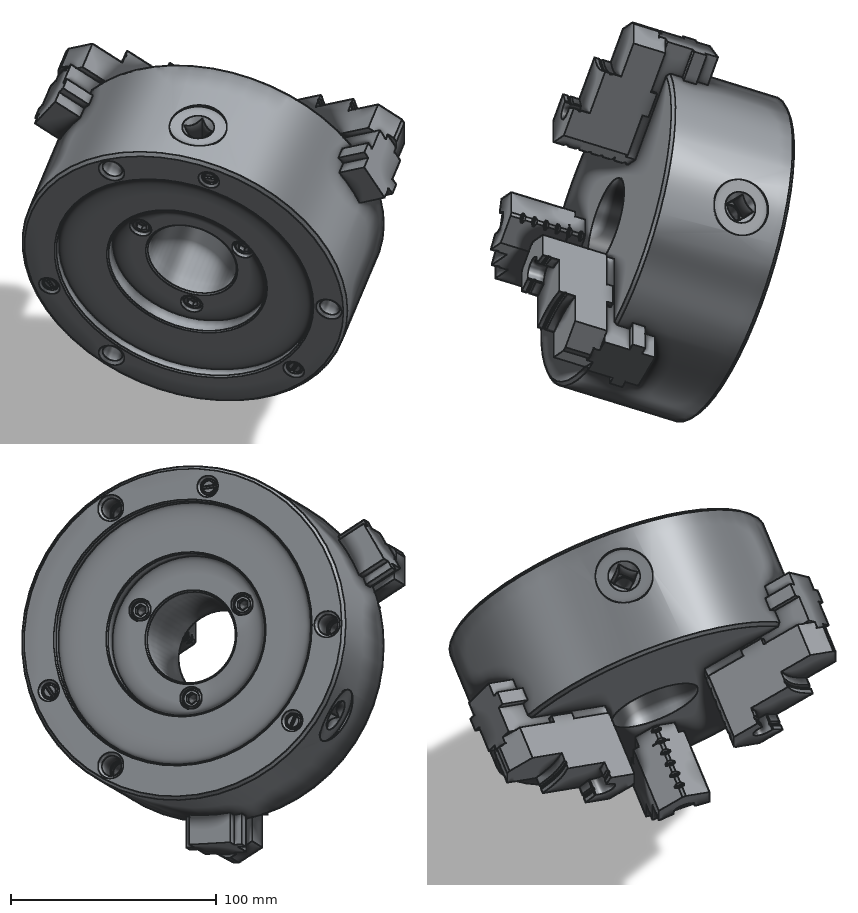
import cadquery as cq
import math


BODY_DIA = 165.0
BODY_LENGTH = 65.0
BODY_CHAMFER = 1.6
REGISTER_DIA = 130.0
REGISTER_DEPTH = 5.0
REGISTER_CHAMFER = 0.8
POCKET_DIA = 80.0
POCKET_DEPTH = 13.0
POCKET_CHAMFER = 0.7
BORE_DIA = 45.0
BORE_CHAMFER = 0.8

MOUNT_CIRCLE_RADIUS = 73.5
MOUNT_ANGLES = (0, 120, 240)
MOUNT_COUNTERSINK_DIA = 13.0
MOUNT_THREAD_DIA = 10.0
MOUNT_THREAD_DEPTH = 15.0
MOUNT_DRILL_DIA = 8.5
MOUNT_DRILL_DEPTH = 18.0
DRILL_POINT_ANGLE = 118.0

SET_SCREW_CIRCLE_RADIUS = 72.7
SET_SCREW_ANGLES = (80, 200, 320)
SET_SCREW_COUNTERSINK_DIA = 10.6
SET_SCREW_DIA = 8.0
SET_SCREW_FACE_DIA = 6.0
SET_SCREW_FACE_DEPTH = 1.5
SET_SCREW_SLOT_WIDTH = 1.3
SET_SCREW_SLOT_DEPTH = 1.5
SET_SCREW_SLOT_TURN = -75.0

CAP_SCREW_CIRCLE_RADIUS = 30.0
CAP_SCREW_ANGLES = (30, 150, 270)
CAP_COUNTERBORE_DIA = 11.0
CAP_HEAD_DIA = 10.0
CAP_HEAD_FACE_DIA = 8.0
CAP_HEAD_RECESS = 1.2
CAP_HEAD_HEIGHT = 6.0
CAP_SOCKET_ACROSS_FLATS = 5.0
CAP_SOCKET_DEPTH = 3.0

PINION_ANGLES = (90, 210, 330)
PINION_DIA = 28.0
PINION_AXIS_Y = 24.0
PINION_FACE_RADIUS = 81.2
PINION_COUNTERSINK_DIA = 15.6
PINION_SQUARE = 10.0
PINION_SQUARE_CORNER_DIA = 14.0
PINION_SQUARE_DEPTH = 15.0
PINION_DRILL_DEPTH = 16.5

JAW_ANGLES = (30, 150, 270)
JAW_TIP_RADIUS = 30.5
JAW_TIP_FLAT = 1.8
JAW_END_FLAT = 2.5
JAW_BEVEL_ANGLE = 30.0

MASTER_WIDTH = 20.7
MASTER_OUTER_RADIUS = 96.5
MASTER_BOTTOM_Y = 43.6
MASTER_TOP_Y = 70.2
GUIDE_WIDTH = 28.4
GUIDE_INNER_RADIUS = 60.0
GUIDE_BOTTOM_Y = 50.4
GUIDE_TOP_Y = 57.0
TONGUE_WIDTH = 8.5
TONGUE_HEIGHT = 3.0
TONGUE_CLEARANCE = 0.3

TOP_JAW_WIDTH = 26.5
TOP_JAW_OUTER_RADIUS = 98.3
TOP_JAW_FRONT_Y = 104.0
STEP_HEIGHT = 8.5
STEP_RADII = (51.8, 73.8)
STEP_HOLLOW_RADIUS = 40.0
STEP_LAND = 1.2
STEP_GROOVE_OFFSET = 3.3
STEP_GROOVE_WIDTH = 2.4
STEP_GROOVE_DEPTH = 0.8
TIP_GROOVE_COUNT = 6
TIP_GROOVE_FIRST_Y = 97.7
TIP_GROOVE_PITCH = 6.15
TIP_GROOVE_WIDTH = 2.6
TIP_GROOVE_DEPTH = 0.9
CROSS_KEY_INNER_RADIUS = 58.6
CROSS_KEY_OUTER_RADIUS = 70.8
CROSS_KEY_HEIGHT = 3.2
BOLT_NOTCH_WIDTH = 11.0
BOLT_NOTCH_CENTRE_RADIUS = 48.0
BOLT_NOTCH_MOUTH_CHAMFER = 0.5


def place(shape, angle):
    """Turn a shape built along +X about the spindle axis, counter-clockwise seen from -Y."""
    return shape.rotate((0, 0, 0), (0, 1, 0), -angle)


def block(x0, x1, y0, y1, width):
    """Box between two radii and two Y levels, centred on Z = 0."""
    box = cq.Workplane("XY").box(x1 - x0, y1 - y0, width, centered=(False, False, True))
    return box.translate((x0, y0, 0))


def turned(profile):
    """Solid of revolution about Y from (radius, y) points."""
    return cq.Workplane("XY").polyline(profile).close().revolve(360, (0, 0, 0), (0, 1, 0))


def drill_point(radius):
    """Height of a drill's conical point."""
    return radius / math.tan(math.radians(DRILL_POINT_ANGLE / 2))


def make_body():
    body_r = BODY_DIA / 2
    register_r = REGISTER_DIA / 2
    pocket_r = POCKET_DIA / 2
    bore_r = BORE_DIA / 2
    return turned([
        (body_r - BODY_CHAMFER, 0),
        (body_r, BODY_CHAMFER),
        (body_r, BODY_LENGTH - BODY_CHAMFER),
        (body_r - BODY_CHAMFER, BODY_LENGTH),
        (bore_r, BODY_LENGTH),
        (bore_r, POCKET_DEPTH + BORE_CHAMFER),
        (bore_r + BORE_CHAMFER, POCKET_DEPTH),
        (pocket_r, POCKET_DEPTH),
        (pocket_r, REGISTER_DEPTH + POCKET_CHAMFER),
        (pocket_r + POCKET_CHAMFER, REGISTER_DEPTH),
        (register_r, REGISTER_DEPTH),
        (register_r, REGISTER_CHAMFER),
        (register_r + REGISTER_CHAMFER, 0),
    ])


def mount_hole():
    mouth_r = MOUNT_COUNTERSINK_DIA / 2
    thread_r = MOUNT_THREAD_DIA / 2
    drill_r = MOUNT_DRILL_DIA / 2
    hole = turned([
        (0, 0),
        (mouth_r, 0),
        (thread_r, mouth_r - thread_r),
        (thread_r, MOUNT_THREAD_DEPTH),
        (drill_r, MOUNT_THREAD_DEPTH),
        (drill_r, MOUNT_DRILL_DEPTH),
        (0, MOUNT_DRILL_DEPTH + drill_point(drill_r)),
    ])
    return hole.translate((MOUNT_CIRCLE_RADIUS, 0, 0))


def set_screw_cut():
    """Countersink around a bevelled screw end, and the screwdriver slot."""
    mouth_r = SET_SCREW_COUNTERSINK_DIA / 2
    screw_r = SET_SCREW_DIA / 2
    face_r = SET_SCREW_FACE_DIA / 2
    bevel_end = SET_SCREW_FACE_DEPTH + screw_r - face_r
    recess = turned([
        (0, 0),
        (mouth_r, 0),
        (screw_r, mouth_r - screw_r),
        (screw_r, bevel_end),
        (face_r, SET_SCREW_FACE_DEPTH),
        (0, SET_SCREW_FACE_DEPTH),
    ])
    slot_end = SET_SCREW_FACE_DEPTH + SET_SCREW_SLOT_DEPTH
    slot = block(-screw_r, screw_r, 0, slot_end, SET_SCREW_SLOT_WIDTH)
    slot = slot.intersect(cq.Workplane("XZ").circle(screw_r).extrude(-slot_end))
    slot = place(slot, SET_SCREW_SLOT_TURN)
    return recess.union(slot).translate((SET_SCREW_CIRCLE_RADIUS, 0, 0))


def cap_screw_cut():
    """Counterbore gap around a bevelled screw head, and its hexagon socket."""
    bore_r = CAP_COUNTERBORE_DIA / 2
    head_r = CAP_HEAD_DIA / 2
    face_r = CAP_HEAD_FACE_DIA / 2
    bevel_end = CAP_HEAD_RECESS + head_r - face_r
    gap = turned([
        (0, 0),
        (bore_r, 0),
        (bore_r, CAP_HEAD_RECESS + CAP_HEAD_HEIGHT),
        (head_r, CAP_HEAD_RECESS + CAP_HEAD_HEIGHT),
        (head_r, bevel_end),
        (face_r, CAP_HEAD_RECESS),
        (0, CAP_HEAD_RECESS),
    ])
    socket_end = CAP_HEAD_RECESS + CAP_SOCKET_DEPTH
    across_corners = CAP_SOCKET_ACROSS_FLATS / math.cos(math.radians(30))
    socket = cq.Workplane("XZ").polygon(6, across_corners).extrude(-socket_end)
    point_r = CAP_SOCKET_ACROSS_FLATS / 2
    point = turned([(0, socket_end), (point_r, socket_end), (0, socket_end + drill_point(point_r))])
    cut = gap.union(socket).union(point)
    return cut.translate((CAP_SCREW_CIRCLE_RADIUS, POCKET_DEPTH, 0))


def pinion_cut():
    """Flat spot-face over the pinion and its square key socket, built along Y then laid along X."""
    mouth_r = PINION_COUNTERSINK_DIA / 2
    drill_r = PINION_SQUARE / 2
    relief = BODY_DIA / 2 - PINION_FACE_RADIUS
    spot_face = cq.Workplane("XZ").circle(PINION_DIA / 2).extrude(relief)
    countersink = turned([(0, 0), (mouth_r, 0), (0, mouth_r)])
    square = cq.Workplane("XZ").rect(PINION_SQUARE, PINION_SQUARE).extrude(-PINION_SQUARE_DEPTH)
    square = place(square, 45)
    corners = cq.Workplane("XZ").circle(PINION_SQUARE_CORNER_DIA / 2).extrude(-PINION_SQUARE_DEPTH)
    square = square.intersect(corners)
    drill = turned([
        (0, 0),
        (drill_r, 0),
        (drill_r, PINION_DRILL_DEPTH),
        (0, PINION_DRILL_DEPTH + drill_point(drill_r)),
    ])
    cut = spot_face.union(countersink).union(square).union(drill)
    return cut.rotate((0, 0, 0), (0, 0, 1), 90).translate((PINION_FACE_RADIUS, PINION_AXIS_Y, 0))


def jaw_plan(width, outer_radius, end_flat, y0, y1):
    """Prism with a pointed inner tip; the outer end is pointed too when end_flat is given."""
    half = width / 2
    slope = math.tan(math.radians(JAW_BEVEL_ANGLE))
    tip_half = JAW_TIP_FLAT / 2
    end_half = half if end_flat is None else end_flat / 2
    shoulder_in = JAW_TIP_RADIUS + (half - tip_half) * slope
    upper = [(JAW_TIP_RADIUS, tip_half), (shoulder_in, half)]
    if end_flat is not None:
        upper.append((outer_radius - (half - end_half) * slope, half))
    upper.append((outer_radius, end_half))
    lower = [(x, -z) for x, z in reversed(upper)]
    return cq.Workplane("XZ").polyline(upper + lower).close().extrude(y0 - y1).translate((0, y0, 0))


def master_jaw():
    jaw = jaw_plan(MASTER_WIDTH, MASTER_OUTER_RADIUS, None, MASTER_BOTTOM_Y, MASTER_TOP_Y)
    guide = block(GUIDE_INNER_RADIUS, MASTER_OUTER_RADIUS, GUIDE_BOTTOM_Y, GUIDE_TOP_Y, GUIDE_WIDTH)
    tongue_top = MASTER_TOP_Y + TONGUE_HEIGHT
    tongue = jaw_plan(TONGUE_WIDTH, MASTER_OUTER_RADIUS, None, MASTER_TOP_Y, tongue_top)
    return jaw.union(guide).union(tongue)


def hollow_centre_radius(level):
    """Distance from the spindle axis to the centre of a step's concave face."""
    hollow_half = TOP_JAW_WIDTH / 2 - STEP_LAND
    return STEP_RADII[level] + math.sqrt(STEP_HOLLOW_RADIUS ** 2 - hollow_half ** 2)


def step_cut(level):
    """Material in front of one step: hollowed gripping face with a lateral groove."""
    radius = STEP_RADII[level]
    top = TOP_JAW_FRONT_Y - level * STEP_HEIGHT
    bottom = top - STEP_HEIGHT
    cut = block(radius, TOP_JAW_OUTER_RADIUS, bottom, TOP_JAW_FRONT_Y, TOP_JAW_WIDTH)
    hollow_centre = hollow_centre_radius(level)
    groove_y = top - STEP_GROOVE_OFFSET
    groove_floor = STEP_GROOVE_WIDTH / 2 - STEP_GROOVE_DEPTH
    grooved_radius = STEP_HOLLOW_RADIUS + STEP_GROOVE_DEPTH
    hollow = turned([
        (0, bottom),
        (STEP_HOLLOW_RADIUS, bottom),
        (STEP_HOLLOW_RADIUS, groove_y - STEP_GROOVE_WIDTH / 2),
        (grooved_radius, groove_y - groove_floor),
        (grooved_radius, groove_y + groove_floor),
        (STEP_HOLLOW_RADIUS, groove_y + STEP_GROOVE_WIDTH / 2),
        (STEP_HOLLOW_RADIUS, top),
        (0, top),
    ])
    hollow = hollow.translate((hollow_centre, 0, 0))
    inner_reach = hollow_centre - grooved_radius
    hollow = hollow.intersect(block(inner_reach, TOP_JAW_OUTER_RADIUS, bottom, top, TOP_JAW_WIDTH))
    return cut.union(hollow)


def tip_groove(y):
    """Groove with 45 degree walls across the inner tip, centred at one Y level."""
    mouth = TIP_GROOVE_WIDTH / 2
    floor = mouth - TIP_GROOVE_DEPTH
    profile = [
        (JAW_TIP_RADIUS, y - mouth),
        (JAW_TIP_RADIUS + TIP_GROOVE_DEPTH, y - floor),
        (JAW_TIP_RADIUS + TIP_GROOVE_DEPTH, y + floor),
        (JAW_TIP_RADIUS, y + mouth),
    ]
    return cq.Workplane("XY").polyline(profile).close().extrude(TOP_JAW_WIDTH / 2, both=True)


def bolt_notch():
    """Round-ended notch in the front step with a chamfered mouth on the concave face."""
    half = BOLT_NOTCH_WIDTH / 2
    mouth_half = half + BOLT_NOTCH_MOUTH_CHAMFER
    mouth_r = hollow_centre_radius(0) - math.sqrt(STEP_HOLLOW_RADIUS ** 2 - mouth_half ** 2)
    throat_r = mouth_r - BOLT_NOTCH_MOUTH_CHAMFER
    notch = (
        cq.Workplane("XZ")
        .moveTo(BOLT_NOTCH_CENTRE_RADIUS, half)
        .lineTo(throat_r, half)
        .lineTo(mouth_r, mouth_half)
        .lineTo(mouth_r, -mouth_half)
        .lineTo(throat_r, -half)
        .lineTo(BOLT_NOTCH_CENTRE_RADIUS, -half)
        .threePointArc((BOLT_NOTCH_CENTRE_RADIUS - half, 0), (BOLT_NOTCH_CENTRE_RADIUS, half))
        .close()
        .extrude(STEP_HEIGHT)
    )
    return notch.translate((0, TOP_JAW_FRONT_Y, 0))


def top_jaw():
    jaw = jaw_plan(TOP_JAW_WIDTH, TOP_JAW_OUTER_RADIUS, JAW_END_FLAT, MASTER_TOP_Y, TOP_JAW_FRONT_Y)
    key_y = MASTER_TOP_Y - CROSS_KEY_HEIGHT
    jaw = jaw.union(
        block(CROSS_KEY_INNER_RADIUS, CROSS_KEY_OUTER_RADIUS, key_y, MASTER_TOP_Y, TOP_JAW_WIDTH)
    )
    for level in range(len(STEP_RADII)):
        jaw = jaw.cut(step_cut(level))
    slot_top = MASTER_TOP_Y + TONGUE_HEIGHT + TONGUE_CLEARANCE
    jaw = jaw.cut(block(0, TOP_JAW_OUTER_RADIUS, MASTER_TOP_Y, slot_top, TONGUE_WIDTH))
    return jaw.cut(bolt_notch())


result = make_body()
for feature, angles in (
    (mount_hole(), MOUNT_ANGLES),
    (set_screw_cut(), SET_SCREW_ANGLES),
    (cap_screw_cut(), CAP_SCREW_ANGLES),
    (pinion_cut(), PINION_ANGLES),
):
    for angle in angles:
        result = result.cut(place(feature, angle))

jaw_set = master_jaw().union(top_jaw())
for index in range(TIP_GROOVE_COUNT):
    jaw_set = jaw_set.cut(tip_groove(TIP_GROOVE_FIRST_Y - index * TIP_GROOVE_PITCH))
for angle in JAW_ANGLES:
    result = result.union(place(jaw_set, angle))